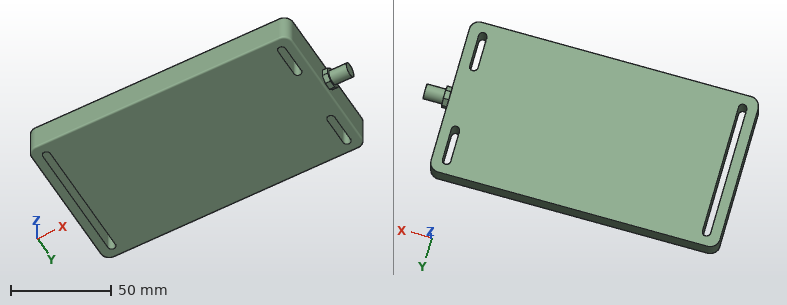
import cadquery as cq
import math

body_length = 150.0
body_width = 80.0
body_height = 16.0
corner_radius = 5.0
bottom_edge_radius = 1.0

slot_width = 4.2
slot_angle = 90.0
slot_edge_inset = 7.5
arc_centre_inset = 7.0
short_slot_span = 16.0
long_slot_span = body_width - 2 * arc_centre_inset
slot_x = body_length / 2 - slot_edge_inset
short_slot_y = (long_slot_span - short_slot_span) / 2

nut_sides = 8
nut_across_flats = 10.4
nut_thickness = 3.0
connector_z = -0.15
plug_diameter = 7.8
plug_length = 10.0


def make_housing():
    """Rounded block with its lower rim rounded over."""
    block = cq.Workplane("XY").box(body_length, body_width, body_height)
    block = block.edges("|Z").fillet(corner_radius)
    return block.faces("<Z").edges().fillet(bottom_edge_radius)


def make_slot(x, y, span):
    """Cutter for a round-ended slot through the full height."""
    cutter = cq.Workplane("XY").center(x, y).slot2D(span + slot_width, slot_width, slot_angle)
    return cutter.extrude(body_height, both=True)


def make_connector():
    """Octagonal nut, with flats facing Y and Z, carrying a round plug."""
    across_corners = nut_across_flats / math.cos(math.pi / nut_sides)
    half_facet_angle = 180.0 / nut_sides
    end_face = cq.Workplane("YZ", origin=(body_length / 2, 0, connector_z))
    nut = (
        end_face.transformed(rotate=(0, 0, half_facet_angle))
        .polygon(nut_sides, across_corners)
        .extrude(nut_thickness)
    )
    plug = end_face.circle(plug_diameter / 2).extrude(nut_thickness + plug_length)
    return nut.union(plug)


result = make_housing()
result = result.cut(make_slot(-slot_x, 0, long_slot_span))
for side in (-1, 1):
    result = result.cut(make_slot(slot_x, side * short_slot_y, short_slot_span))
result = result.union(make_connector())